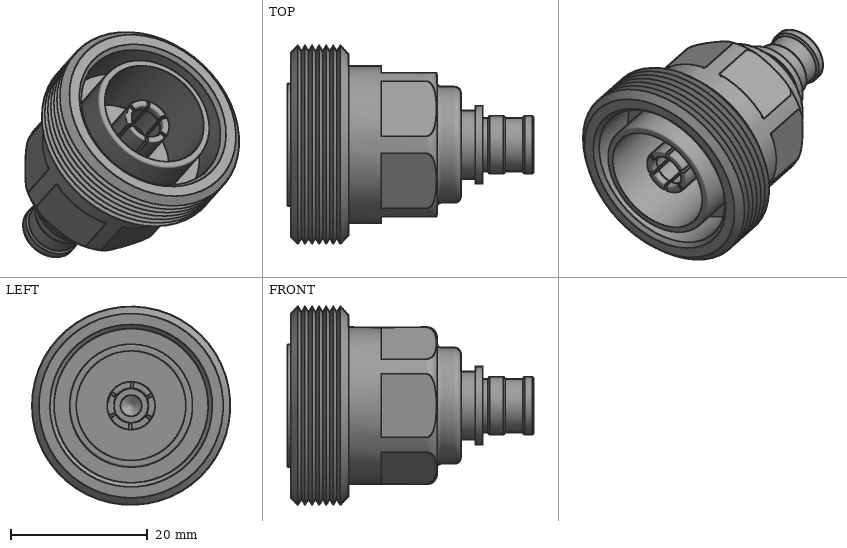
import cadquery as cq
import math

LENGTH = 36.07

RING_START = 0.55
RING_END = 8.98
RING_FRONT_RADIUS = 13.45
RING_REAR_RADIUS = 13.25
RING_BORE_RADIUS = 11.25
RING_BORE_CHAMFER = 0.6
RING_BORE_FLOOR = 8.37
THREAD_RADIUS = 14.5
THREAD_DEPTH = 0.85
THREAD_START = 1.6
THREAD_END = 7.8
THREAD_COUNT = 7
THREAD_PITCH = (THREAD_END - THREAD_START) / (THREAD_COUNT - 1)

BODY_RADIUS = 11.5
BODY_END = 21.93
BODY_FILLET = 1.6
FLAT_COUNT = 6
FLAT_START = 13.78
FLAT_DISTANCE = 10.55

COLLAR_RADIUS = 8.5
COLLAR_END = 25.43
COLLAR_FILLET = 1.05
COLLAR_ROOT_RADIUS = 0.55

NECK_RADIUS = 5.0
FLANGE_START = 27.52
FLANGE_END = 28.6
FLANGE_RADIUS = 5.75
FERRULE_RADIUS = 3.93
BARB_RADIUS = 4.25
BARB_CHAMFER = 0.3
FRONT_BARB = (29.32, 31.9)
REAR_BARB = (34.4, LENGTH)

SLEEVE_RADIUS = 8.98
SLEEVE_BORE_RADIUS = 8.0
SLEEVE_FILLET = 0.3
SLEEVE_FLOOR = 11.9

CONTACT_TIP = 2.25
CONTACT_RADIUS = 3.5
CONTACT_FILLET = 0.1
SOCKET_RADIUS = 2.5
SOCKET_LIP_FILLET = 0.32
SOCKET_LAND_END = 1.12
SOCKET_RELIEF = 0.1
SOCKET_DEPTH = 5.77
DRILL_RADIUS = 1.55
DRILL_POINT_DEPTH = 0.9
SLOT_COUNT = 6
SLOT_ANGLE = 7.5
SLOT_TURN = 2.5
SLOT_DEPTH = 5.05


def cylinder(start, end, radius):
    """Solid cylinder on the X axis."""
    return cq.Workplane("YZ", origin=(start, 0, 0)).circle(radius).extrude(end - start)


def threaded_ring():
    """Coupling ring with V grooves between crests and tapered lead-ins at both ends."""
    outline = [(RING_START, 0), (RING_START, RING_FRONT_RADIUS)]
    for index in range(THREAD_COUNT):
        crest = THREAD_START + index * THREAD_PITCH
        outline.append((crest, THREAD_RADIUS))
        if index < THREAD_COUNT - 1:
            outline.append((crest + THREAD_PITCH / 2, THREAD_RADIUS - THREAD_DEPTH))
    outline += [(RING_END, RING_REAR_RADIUS), (RING_END, 0)]
    return cq.Workplane("XY").polyline(outline).close().revolve(360, (0, 0, 0), (1, 0, 0))


def wrench_body():
    """Rounded body with six flats cut into its rear part."""
    body = cylinder(RING_END, BODY_END, BODY_RADIUS).faces(">X").edges().fillet(BODY_FILLET)
    flat_length = BODY_END - FLAT_START
    cutter = cq.Workplane("XY").box(
        flat_length, BODY_RADIUS, 2 * BODY_RADIUS, centered=(False, False, True)
    ).translate((FLAT_START, FLAT_DISTANCE, 0))
    for index in range(FLAT_COUNT):
        body = body.cut(cutter.rotate((0, 0, 0), (1, 0, 0), index * 360 / FLAT_COUNT))
    return body


def rear_collar():
    """Collar with a rounded rear edge and a concave fillet where it meets the body."""
    collar = cylinder(BODY_END, COLLAR_END, COLLAR_RADIUS).faces(">X").edges().fillet(COLLAR_FILLET)
    reach = COLLAR_ROOT_RADIUS * (1 - math.sqrt(0.5))
    root = (
        cq.Workplane("XY")
        .moveTo(BODY_END, 0)
        .lineTo(BODY_END, COLLAR_RADIUS + COLLAR_ROOT_RADIUS)
        .threePointArc(
            (BODY_END + reach, COLLAR_RADIUS + reach),
            (BODY_END + COLLAR_ROOT_RADIUS, COLLAR_RADIUS),
        )
        .lineTo(BODY_END + COLLAR_ROOT_RADIUS, 0)
        .close()
        .revolve(360, (0, 0, 0), (1, 0, 0))
    )
    return collar.union(root)


def tail():
    """Neck, thin flange and ferrule with two chamfered barbs."""
    solid = cylinder(COLLAR_END, FLANGE_START, NECK_RADIUS)
    solid = solid.union(cylinder(FLANGE_START, FLANGE_END, FLANGE_RADIUS))
    solid = solid.union(cylinder(FLANGE_END, LENGTH, FERRULE_RADIUS))
    for start, end in (FRONT_BARB, REAR_BARB):
        solid = solid.union(cylinder(start, end, BARB_RADIUS).edges().chamfer(BARB_CHAMFER))
    return solid


def cut_ring_bore(solid):
    """Open the ring bore from the front, with a chamfered mouth."""
    solid = solid.cut(cylinder(RING_START, RING_BORE_FLOOR, RING_BORE_RADIUS))
    mouth = cq.Solid.makeCone(
        RING_BORE_RADIUS + RING_BORE_CHAMFER, RING_BORE_RADIUS, RING_BORE_CHAMFER,
        pnt=cq.Vector(RING_START, 0, 0), dir=cq.Vector(1, 0, 0),
    )
    return solid.cut(cq.Workplane(mouth))


def sleeve():
    """Front tube with a rounded outer edge, seated on the floor of the ring bore."""
    return cylinder(0, RING_BORE_FLOOR, SLEEVE_RADIUS).faces("<X").edges().fillet(SLEEVE_FILLET)


def contact():
    """Socket contact: rounded mouth, land and relieved bore, conical drill point and wedge slots."""
    pin = cylinder(CONTACT_TIP, SLEEVE_FLOOR, CONTACT_RADIUS).faces("<X").edges().fillet(CONTACT_FILLET)
    socket_floor = CONTACT_TIP + SOCKET_DEPTH
    land_end = CONTACT_TIP + SOCKET_LAND_END
    relief_radius = SOCKET_RADIUS + SOCKET_RELIEF
    lip_reach = SOCKET_LIP_FILLET * (1 - math.sqrt(0.5))
    bore = (
        cq.Workplane("XY")
        .moveTo(CONTACT_TIP, 0)
        .lineTo(CONTACT_TIP, SOCKET_RADIUS + SOCKET_LIP_FILLET)
        .threePointArc(
            (CONTACT_TIP + lip_reach, SOCKET_RADIUS + lip_reach),
            (CONTACT_TIP + SOCKET_LIP_FILLET, SOCKET_RADIUS),
        )
        .lineTo(land_end, SOCKET_RADIUS)
        .lineTo(land_end + SOCKET_RELIEF, relief_radius)
        .lineTo(socket_floor, relief_radius)
        .lineTo(socket_floor, DRILL_RADIUS)
        .lineTo(socket_floor + DRILL_POINT_DEPTH, 0)
        .close()
        .revolve(360, (0, 0, 0), (1, 0, 0))
    )
    pin = pin.cut(bore)
    slot_reach = 2 * CONTACT_RADIUS
    half_width = slot_reach * math.tan(math.radians(SLOT_ANGLE / 2))
    slot = (
        cq.Workplane("YZ", origin=(CONTACT_TIP, 0, 0))
        .polyline([(0, 0), (half_width, slot_reach), (-half_width, slot_reach)])
        .close()
        .extrude(SLOT_DEPTH)
    )
    for index in range(SLOT_COUNT):
        turn = SLOT_TURN + index * 360 / SLOT_COUNT
        pin = pin.cut(slot.rotate((0, 0, 0), (1, 0, 0), turn))
    return pin


shell = threaded_ring().union(wrench_body()).union(rear_collar()).union(tail())
sleeve_bore = cylinder(0, SLEEVE_FLOOR, SLEEVE_BORE_RADIUS)
result = cut_ring_bore(shell).union(sleeve()).cut(sleeve_bore).union(contact())